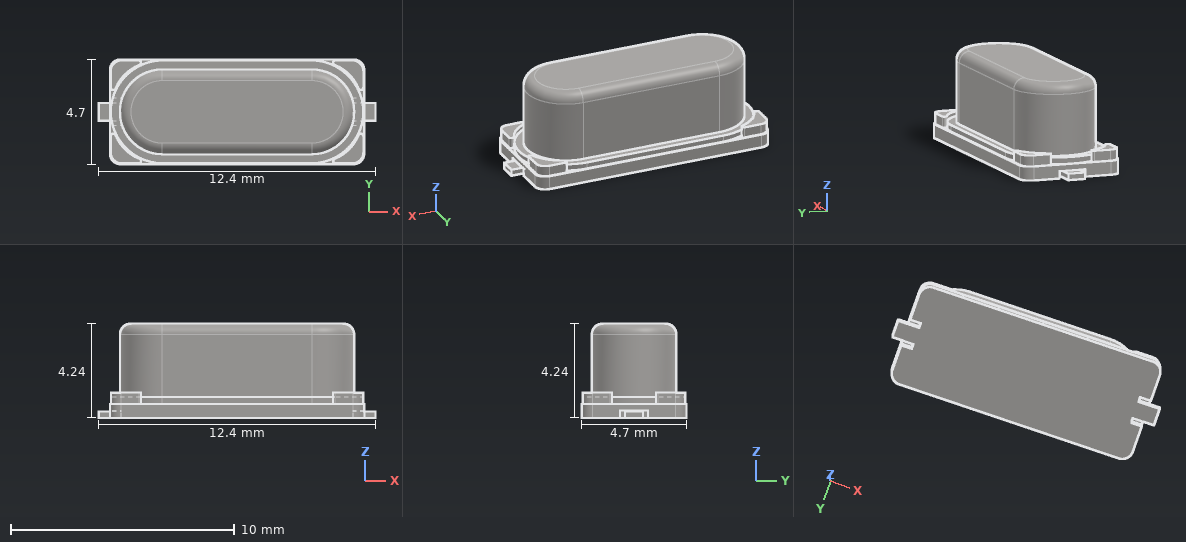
import cadquery as cq
import math

base_length = 11.4
base_width = 4.7
base_height = 0.64
base_corner_radius = 0.5

can_length = 10.5
can_width = 3.8
total_height = 4.24
can_edge_radius = 0.5

edge_inset = 0.05
flange_length = base_length - 2 * edge_inset
flange_width = base_width - 2 * edge_inset
flange_height = 0.3

pad_height = 0.5
pad_middle_gap = 0.06
pad_tip_gap = 0.03
pad_tip_x = 4.3
pad_tip_y = 0.98
pad_tip_radius = 0.09
pad_corner_radius = base_corner_radius - edge_inset

lead_span = 12.4
lead_width = 0.8
lead_height = 0.3
notch_width = 1.24
notch_height = 0.34
notch_depth = 0.5


def make_base():
    plate = cq.Workplane("XY").box(base_length, base_width, base_height, centered=(True, True, False))
    return plate.edges("|Z").fillet(base_corner_radius)


def make_stadium(length, width, height):
    return cq.Workplane("XY").workplane(offset=base_height).slot2D(length, width).extrude(height)


def make_can():
    can = make_stadium(can_length, can_width, total_height - base_height)
    return can.faces(">Z").edges().fillet(can_edge_radius)


def make_pad():
    """Pad in the +X +Y corner; its concave side faces the flange end."""
    outer_x = flange_length / 2
    outer_y = flange_width / 2
    flange_radius = flange_width / 2
    flange_center_x = (flange_length - flange_width) / 2
    tip_distance = flange_radius + pad_tip_gap
    long_tip_y = math.sqrt(tip_distance**2 - (pad_tip_x - flange_center_x) ** 2)
    short_tip_x = flange_center_x + math.sqrt(tip_distance**2 - pad_tip_y**2)
    middle_offset = (flange_radius + pad_middle_gap) * math.sqrt(0.5)

    pad = (
        cq.Workplane("XY")
        .workplane(offset=base_height)
        .moveTo(pad_tip_x, long_tip_y)
        .lineTo(pad_tip_x, outer_y)
        .lineTo(outer_x, outer_y)
        .lineTo(outer_x, pad_tip_y)
        .lineTo(short_tip_x, pad_tip_y)
        .threePointArc((flange_center_x + middle_offset, middle_offset), (pad_tip_x, long_tip_y))
        .close()
        .extrude(pad_height)
    )
    z = base_height + pad_height / 2
    pad = pad.edges(cq.NearestToPointSelector((outer_x, outer_y, z))).fillet(pad_corner_radius)
    tip_corners = (
        (pad_tip_x, outer_y, z),
        (pad_tip_x, long_tip_y, z),
        (outer_x, pad_tip_y, z),
        (short_tip_x, pad_tip_y, z),
    )
    for tip in tip_corners:
        pad = pad.edges(cq.NearestToPointSelector(tip)).fillet(pad_tip_radius)
    return pad


def make_end_block(inner_x, outer_x, width, height):
    """Block on the +X end, standing on the bottom plane and centered on Y."""
    block = cq.Workplane("XY").box(outer_x - inner_x, width, height, centered=(False, True, False))
    return block.translate((inner_x, 0, 0))


notch_inner_x = base_length / 2 - notch_depth
notch = make_end_block(notch_inner_x, base_length / 2, notch_width, notch_height)
lead = make_end_block(notch_inner_x, lead_span / 2, lead_width, lead_height)
pad = make_pad()
pad_pair = pad.union(pad.mirror("XZ"))

result = make_base().cut(notch).cut(notch.mirror("YZ"))
result = result.union(make_stadium(flange_length, flange_width, flange_height))
result = result.union(make_can())
for feature in (lead, pad_pair):
    result = result.union(feature).union(feature.mirror("YZ"))